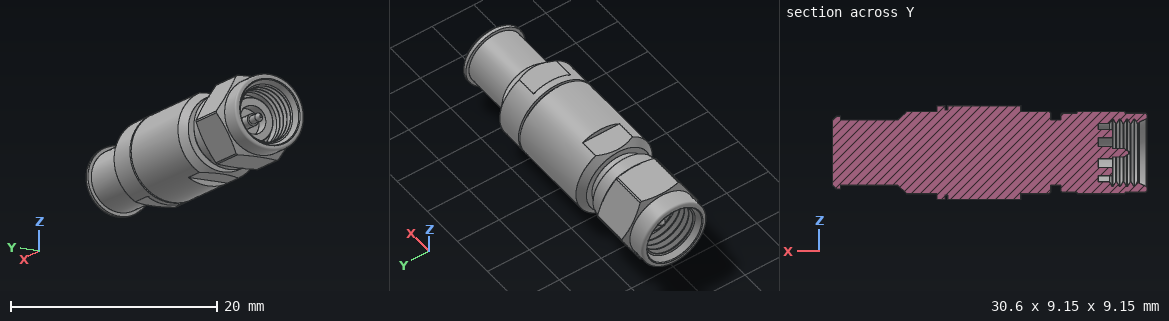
import cadquery as cq
import math


total_length = 30.55
body_diameter = 9.15
body_radius = body_diameter / 2
half_flats = 4.0

nut_radius = 3.85
nut_length = 8.4
rim_round = 0.25
hex_start = 2.1
hex_end = 6.85
hex_crown_radius = nut_radius
hex_crown_length = 0.37

mouth_radius = 3.27
mouth_chamfer = 0.1
lead_in_depth = 0.75
lead_in_radius = 2.95
thread_root_radius = 3.27
thread_crest_radius = 2.8
thread_pitch = 0.7
thread_crest_width = 0.1
thread_crest_count = 5
flank_slope = math.tan(math.radians(30))
flank_length = (thread_root_radius - thread_crest_radius) * flank_slope
first_crest = lead_in_depth + (lead_in_radius - thread_crest_radius) * flank_slope
nut_bore_depth = 4.75

post_radius = 2.25
post_front = 3.35
post_chamfer = 0.05
air_bore_radius = 1.45
air_bore_depth = nut_bore_depth
pin_base_radius = 0.6
pin_radius = 0.43
pin_tip_radius = 0.12
pin_tip = 1.77
pin_cone_length = 0.45

neck_radius = 3.18
body_start = 9.35
body_chamfer = 0.73
groove_start = 19.38
groove_end = 19.62
groove_radius = 4.15
taper_start = 22.77
taper_end = 24.23
front_flat_end = 12.25
rear_flat_start = 20.4

flange_start = 29.77
flange_radius = 3.55
flange_chamfer = 0.4


def revolve_profile(points):
    """Turn (x, radius) points about the X axis."""
    return cq.Workplane("XY").polyline(points).close().revolve(360, (0, 0, 0), (1, 0, 0))


def cylinder(start, end, radius):
    return cq.Workplane("YZ").workplane(offset=start).circle(radius).extrude(end - start)


def make_nut_barrel():
    barrel = cylinder(0, nut_length, nut_radius)
    return barrel.faces("<X or >X").edges().fillet(rim_round)


def make_hex():
    """Hexagon with flats facing +Z and -Z, its corners turned down and crowned at both ends."""
    across_corners = 2 * half_flats / math.cos(math.radians(30))
    prism = (
        cq.Workplane("YZ")
        .workplane(offset=hex_start)
        .polygon(6, across_corners)
        .extrude(hex_end - hex_start)
    )
    crown = revolve_profile([
        (hex_start, 0),
        (hex_start, hex_crown_radius),
        (hex_start + hex_crown_length, body_radius),
        (hex_end - hex_crown_length, body_radius),
        (hex_end, hex_crown_radius),
        (hex_end, 0),
    ])
    return prism.intersect(crown)


def make_lead_in():
    """Chamfered mouth narrowing in a shallow taper, then down the flank of the first crest."""
    return revolve_profile([
        (0, 0),
        (0, mouth_radius + mouth_chamfer),
        (mouth_chamfer, mouth_radius),
        (lead_in_depth, lead_in_radius),
        (first_crest, thread_crest_radius),
        (first_crest, 0),
    ])


def make_threaded_bore():
    """Straight bore with a ring-shaped groove between neighbouring thread crests."""
    profile = [(0, 0), (0, thread_crest_radius)]
    for turn in range(1, thread_crest_count):
        groove_back = first_crest + turn * thread_pitch
        groove_front = groove_back - thread_pitch + thread_crest_width
        profile += [
            (groove_front, thread_crest_radius),
            (groove_front + flank_length, thread_root_radius),
            (groove_back - flank_length, thread_root_radius),
            (groove_back, thread_crest_radius),
        ]
    profile += [(nut_bore_depth, thread_crest_radius), (nut_bore_depth, 0)]
    return revolve_profile(profile)


def make_contact():
    post = cylinder(post_front, nut_bore_depth, post_radius)
    post = post.faces("<X").edges().chamfer(post_chamfer)
    post = post.cut(cylinder(post_front, air_bore_depth, air_bore_radius))
    pin = revolve_profile([
        (pin_tip, 0),
        (pin_tip, pin_tip_radius),
        (pin_tip + pin_cone_length, pin_radius),
        (post_front, pin_radius),
        (post_front, pin_base_radius),
        (air_bore_depth, pin_base_radius),
        (air_bore_depth, 0),
    ])
    return post.union(pin)


def make_body():
    """Neck, main body, cable sleeve and flange turned in one profile."""
    return revolve_profile([
        (nut_length, 0),
        (nut_length, neck_radius),
        (body_start, neck_radius),
        (body_start, body_radius - body_chamfer),
        (body_start + body_chamfer, body_radius),
        (groove_start, body_radius),
        (groove_start, groove_radius),
        (groove_end, groove_radius),
        (groove_end, body_radius),
        (taper_start, body_radius),
        (taper_end, neck_radius),
        (flange_start, neck_radius),
        (flange_start, flange_radius),
        (total_length - flange_chamfer, flange_radius),
        (total_length, flange_radius - flange_chamfer),
        (total_length, 0),
    ])


def make_flat_cutter(start, end):
    """Material above +half_flats and below -half_flats along one stretch of the body."""
    blocks = cq.Workplane("XY")
    height = body_radius - half_flats
    for side in (1, -1):
        block = cq.Workplane("XY").box(end - start, 2 * body_radius, height)
        center_z = side * (half_flats + height / 2)
        blocks = blocks.union(block.translate(((start + end) / 2, 0, center_z)))
    return blocks


nut = make_nut_barrel().union(make_hex())
nut = nut.cut(make_lead_in()).cut(make_threaded_bore()).union(make_contact())
body = make_body()
for flat_start, flat_end in ((body_start, front_flat_end), (rear_flat_start, taper_end)):
    body = body.cut(make_flat_cutter(flat_start, flat_end))

result = nut.union(body)